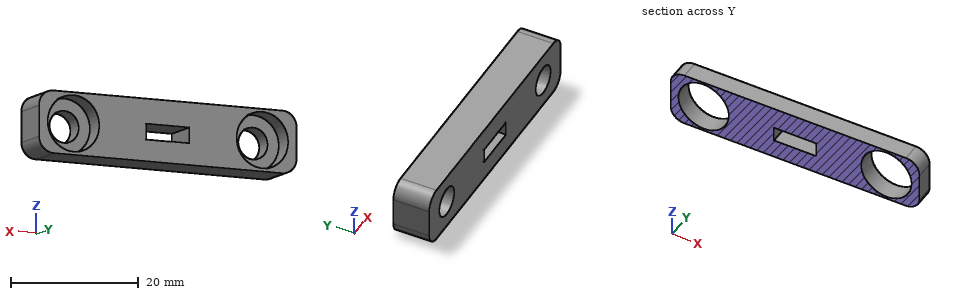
import cadquery as cq

length = 45.0
thickness = 6.35
height = 10.0
corner_radius = 2.5

hole_diameter = 5.1
hole_spacing = 33.0
counterbore_diameter = 9.0
counterbore_depth = 3.35

slot_length = 7.5
slot_height = 2.5
slot_centre_z = -0.25


def make_bar():
    """Flat bar centred on the origin, with its four corners rounded in the XZ plane."""
    bar = cq.Workplane("XY").box(length, thickness, height)
    return bar.edges("|Y").fillet(corner_radius)


def cut_holes(body):
    """Pair of through holes, counterbored from the +Y face."""
    hole_centres = [(-hole_spacing / 2, 0), (hole_spacing / 2, 0)]
    return (
        body.faces(">Y")
        .workplane(origin=(0, 0, 0))
        .pushPoints(hole_centres)
        .cboreHole(hole_diameter, counterbore_diameter, counterbore_depth)
    )


def cut_slot(body):
    """Sharp-cornered slot through the thickness."""
    slot = cq.Workplane("XY").box(slot_length, thickness, slot_height)
    return body.cut(slot.translate((0, 0, slot_centre_z)))


result = cut_slot(cut_holes(make_bar()))